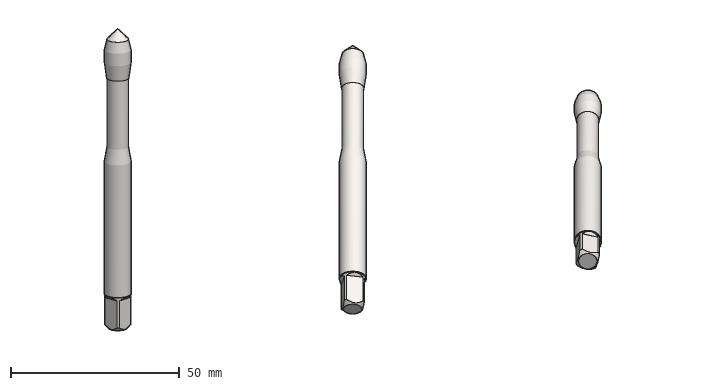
import cadquery as cq
import math

total_length = 93.22
shank_diameter = 8.08

head_diameter = 8.03
tip_base_diameter = 6.46
tip_length = tip_base_diameter / 2
lead_length = 3.36
land_length = 3.9
back_taper_length = 4.8
back_taper_end_diameter = 6.7

neck_diameter = 6.46
neck_cone_length = 4.6
neck_top_blend_length = 0.35
neck_bottom_blend_radius = 1.5
shank_top_height = 51.9

drive_corner_diameter = 7.75
drive_width = 6.03
flat_length = 9.7
shank_bottom_height = 10.8
end_chamfer_height = 1.25
end_face_diameter = 5.4

tip_base_height = total_length - tip_length
land_top_height = tip_base_height - lead_length
land_bottom_height = land_top_height - land_length
neck_top_height = land_bottom_height - back_taper_length
neck_bottom_height = shank_top_height + neck_cone_length
shank_chamfer = (shank_diameter - drive_corner_diameter) / 2


def neck_cone_blend():
    """Return the start, middle and end of the arc that blends the neck cone into the neck."""
    cone_rise = (shank_diameter - neck_diameter) / 2
    cone_angle = math.atan2(cone_rise, neck_cone_length)
    radius = neck_bottom_blend_radius
    tangent_length = radius * math.tan(cone_angle / 2)
    center_x = neck_diameter / 2 + radius
    center_z = neck_bottom_height + tangent_length

    def point_at(angle):
        return (center_x - radius * math.cos(angle), center_z - radius * math.sin(angle))

    return point_at(cone_angle), point_at(cone_angle / 2), point_at(0)


def turned_body():
    """Revolve the half profile of the round body about Z."""
    blend_start, blend_middle, blend_end = neck_cone_blend()
    neck_blend_height = neck_top_height - neck_top_blend_length
    profile = (
        cq.Workplane("XZ")
        .lineTo(end_face_diameter / 2, 0)
        .lineTo(drive_corner_diameter / 2, end_chamfer_height)
        .lineTo(drive_corner_diameter / 2, shank_bottom_height - shank_chamfer)
        .lineTo(shank_diameter / 2, shank_bottom_height)
        .lineTo(shank_diameter / 2, shank_top_height)
        .lineTo(*blend_start)
        .threePointArc(blend_middle, blend_end)
        .lineTo(neck_diameter / 2, neck_blend_height)
        .tangentArcPoint((back_taper_end_diameter / 2, neck_top_height), relative=False)
        .lineTo(head_diameter / 2, land_bottom_height)
        .lineTo(head_diameter / 2, land_top_height)
        .lineTo(tip_base_diameter / 2, tip_base_height)
        .lineTo(0, total_length)
        .close()
    )
    return profile.revolve(360, (0, 0), (0, 1))


def flat_cutter():
    """Prism that cuts the flat on the +X side; its top runs out at 45 degrees."""
    inner = drive_width / 2
    depth = shank_diameter - inner
    outline = [
        (inner, 0),
        (inner + depth, 0),
        (inner + depth, flat_length + depth),
        (inner, flat_length),
    ]
    return cq.Workplane("XZ").polyline(outline).close().extrude(shank_diameter / 2, both=True)


def cut_square_drive(body):
    """Cut the four flats of the square drive, facing X and Y."""
    flat_count = 4
    for index in range(flat_count):
        angle = index * 360 / flat_count
        body = body.cut(flat_cutter().rotate((0, 0, 0), (0, 0, 1), angle))
    return body


result = cut_square_drive(turned_body())